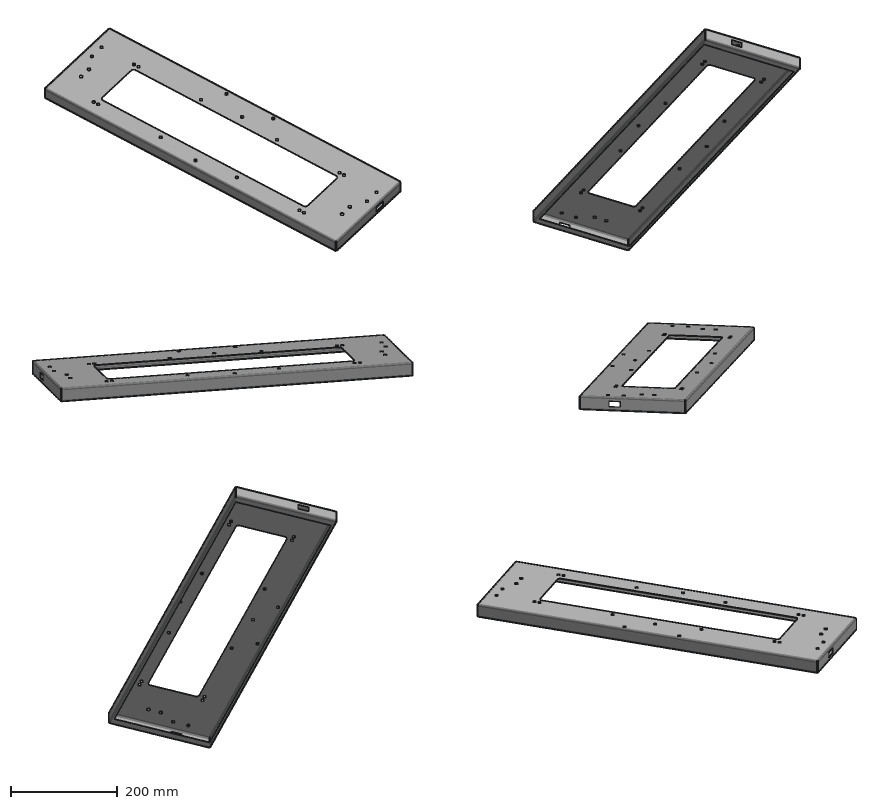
import cadquery as cq

LENGTH = 684.0
WIDTH = 204.0
HEIGHT = 27.0

SHEET = 1.7
BEND_RADIUS = 3.0
SIDE_LIP = 7.0
END_LIP = 16.0

WINDOW_LENGTH = 480.0
WINDOW_WIDTH = 101.0
WINDOW_Y = -10.0
WINDOW_CORNER = 5.5

SLOT_WIDTH = 21.0
SLOT_HEIGHT = 10.0
SLOT_Y = 34.0

SMALL_HOLE = 5.8
LARGE_HOLE = 6.5
ROW_X = (89.0, 235.0, 245.5)
UPPER_ROW_Y = 50.5
LOWER_ROW_Y = -74.5
CENTRE_HOLE_Y = (60.0, -85.0)
OUTER_END_X = 321.5
OUTER_END_Y = (UPPER_ROW_Y, 20.5)
INNER_END_X = 305.0
INNER_END_Y = (-10.0, -35.0)
BACK_HOLE_X = (-60.0, 49.0)
BACK_HOLE_Y = 91.5


def rounded_bar(plane, long_edges, width, height, radius, run):
    """Rectangular bar at mid height, `run` long, with its long edges rounded."""
    return (
        cq.Workplane(plane)
        .center(0, HEIGHT / 2)
        .rect(width, height)
        .extrude(run / 2, both=True)
        .edges(long_edges)
        .fillet(radius)
    )


def folded_pair(plane, long_edges, span, run, lip):
    """Top face, two opposite walls and their lips: a sheet tube with a slit along the bottom."""
    outside = rounded_bar(plane, long_edges, span, HEIGHT, BEND_RADIUS, run)
    inside = rounded_bar(
        plane, long_edges, span - 2 * SHEET, HEIGHT - 2 * SHEET, BEND_RADIUS - SHEET, run
    )
    slit = (
        cq.Workplane(plane)
        .rect(span - 2 * lip, 2 * SHEET)
        .extrude(run / 2, both=True)
    )
    return outside.cut(inside).cut(slit)


def folded_tray():
    """Two crossing folded pairs; each stops short of the corners, which stay open."""
    sides = folded_pair("YZ", "|X", WIDTH, LENGTH - 2 * BEND_RADIUS, SIDE_LIP)
    ends = folded_pair("XZ", "|Y", LENGTH, WIDTH - 2 * BEND_RADIUS, END_LIP)
    return sides.union(ends)


def window_cutter():
    return (
        cq.Workplane("XY")
        .workplane(offset=HEIGHT / 2)
        .center(0, WINDOW_Y)
        .rect(WINDOW_LENGTH, WINDOW_WIDTH)
        .extrude(HEIGHT)
        .edges("|Z")
        .fillet(WINDOW_CORNER)
    )


def slot_cutter():
    """One bar longer than the tray, so it pierces both end walls."""
    return (
        cq.Workplane("XY")
        .box(LENGTH + 2 * BEND_RADIUS, SLOT_WIDTH, SLOT_HEIGHT)
        .translate((0, SLOT_Y, HEIGHT / 2))
    )


def hole_cutter(points, diameter):
    """Drills from mid height upwards, so only the top face is pierced."""
    return (
        cq.Workplane("XY")
        .workplane(offset=HEIGHT / 2)
        .pushPoints(points)
        .circle(diameter / 2)
        .extrude(HEIGHT)
    )


def mirrored(xs, ys):
    """Every pairing of xs and ys, on both sides of X = 0."""
    return [(side * x, y) for side in (-1, 1) for x in xs for y in ys]


small_points = mirrored(ROW_X, (UPPER_ROW_Y, LOWER_ROW_Y))
small_points += mirrored((OUTER_END_X,), OUTER_END_Y)
small_points += [(0, y) for y in CENTRE_HOLE_Y]
small_points += [(x, BACK_HOLE_Y) for x in BACK_HOLE_X]
large_points = mirrored((INNER_END_X,), INNER_END_Y)

result = (
    folded_tray()
    .cut(window_cutter())
    .cut(slot_cutter())
    .cut(hole_cutter(small_points, SMALL_HOLE))
    .cut(hole_cutter(large_points, LARGE_HOLE))
)